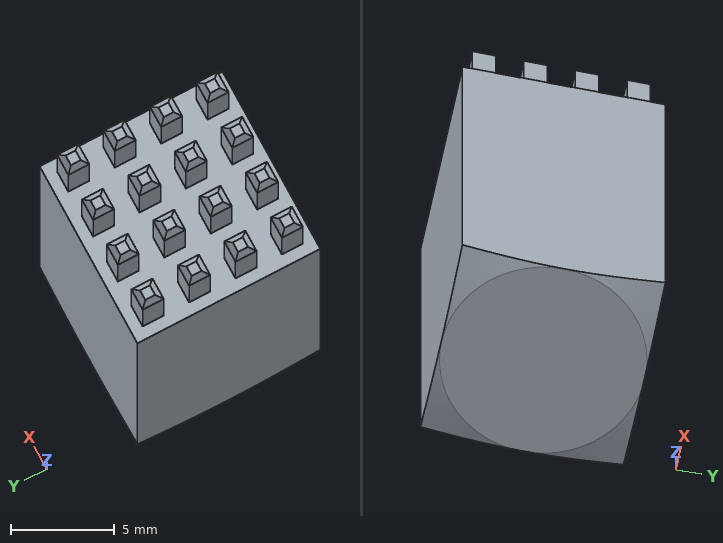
import cadquery as cq
import math

total_height = 23.5
body_width = 10.0
pin_height = 3.5
body_height = total_height - pin_height

pins_per_side = 4
pin_pitch = 2.54
pin_width = 1.15
tip_chamfer = 0.3

cone_angle = 15
inscribed_radius = body_width / 2


def make_body():
    """Square block whose bottom corners are turned off by a shallow cone."""
    block = cq.Workplane("XY").box(body_width, body_width, body_height, centered=(True, True, False))
    rim_radius = body_width
    rim_rise = (rim_radius - inscribed_radius) * math.tan(math.radians(cone_angle))
    turned_profile = (
        cq.Workplane("XZ")
        .lineTo(inscribed_radius, 0)
        .lineTo(rim_radius, rim_rise)
        .lineTo(rim_radius, body_height)
        .lineTo(0, body_height)
        .close()
    )
    turned_envelope = turned_profile.revolve(360, (0, 0, 0), (0, 1, 0))
    return block.intersect(turned_envelope)


def make_pins():
    """Grid of square pins standing on the body, each with a chamfered tip."""
    grid = cq.Workplane("XY", origin=(0, 0, body_height)).rarray(
        pin_pitch, pin_pitch, pins_per_side, pins_per_side
    )
    pins = grid.rect(pin_width, pin_width).extrude(pin_height)
    return pins.faces(">Z").edges().chamfer(tip_chamfer)


result = make_body().union(make_pins())